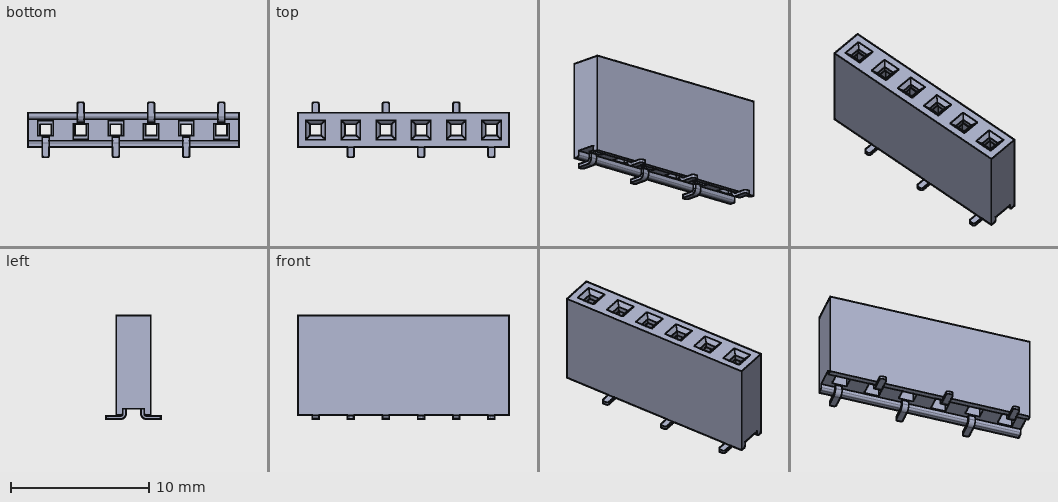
import cadquery as cq

contact_count = 6
housing_length = 15.24
housing_width = 2.5
overall_height = 7.5
housing_bottom = 0.29
housing_height = overall_height - housing_bottom
pitch = housing_length / contact_count

channel_width = 1.55
channel_depth = 0.45
channel_edge_radius = 0.15

socket_side = 0.8
lead_in_side = 1.4
lead_in_depth = 0.3

cavity_roof_depth = 0.69
cavity_side_clearance = 0.15
cavity_lead_clearance = 0.03
cavity_far_clearance = 0.27

lead_span = 4.0
lead_width = 0.5
lead_thickness = 0.25
bend_inner_radius = 0.17
lead_tip_radius = 0.15

channel_top = housing_bottom + channel_depth
contact_xs = [(i - (contact_count - 1) / 2) * pitch for i in range(contact_count)]


def make_housing():
    """Rectangular block with a round-edged channel along its underside."""
    block = cq.Workplane("XY").box(
        housing_length, housing_width, housing_height, centered=(True, True, False)
    )
    channel = cq.Workplane("XY").box(
        housing_length, channel_width, channel_depth, centered=(True, True, False)
    )
    between_edges_y = (channel_width + housing_width) / 4
    mouth_edges = cq.selectors.BoxSelector(
        (-housing_length, -between_edges_y, -channel_depth / 2),
        (housing_length, between_edges_y, channel_depth / 2),
    )
    housing = block.cut(channel).edges("|X").edges(mouth_edges).fillet(channel_edge_radius)
    return housing.translate((0, 0, housing_bottom))


def make_sockets():
    """Through holes with pyramidal lead-ins, one per contact."""
    centers = [(x, 0) for x in contact_xs]
    holes = (
        cq.Workplane("XY")
        .pushPoints(centers)
        .rect(socket_side, socket_side)
        .extrude(overall_height)
    )
    for center in centers:
        lead_in = (
            cq.Workplane("XY", origin=(0, 0, overall_height))
            .center(*center)
            .rect(lead_in_side, lead_in_side)
            .workplane(offset=-lead_in_depth)
            .rect(socket_side, socket_side)
            .loft(ruled=True)
        )
        holes = holes.union(lead_in)
    return holes


def make_lead():
    """L-shaped lead against the +Y channel wall, its foot reaching out to +Y."""
    wall_y = channel_width / 2
    tip_y = lead_span / 2
    inner_y = wall_y - lead_thickness
    bend_y = wall_y + bend_inner_radius
    bend_z = lead_thickness + bend_inner_radius
    bend_outer_radius = bend_inner_radius + lead_thickness
    return (
        cq.Workplane("YZ", origin=(-lead_width / 2, 0, 0))
        .moveTo(inner_y, channel_top)
        .lineTo(inner_y, bend_z)
        .radiusArc((bend_y, 0), -bend_outer_radius)
        .lineTo(tip_y, 0)
        .lineTo(tip_y, lead_thickness)
        .lineTo(bend_y, lead_thickness)
        .radiusArc((wall_y, bend_z), bend_inner_radius)
        .lineTo(wall_y, channel_top)
        .close()
        .extrude(lead_width)
        .faces(">Y")
        .edges("|Z")
        .fillet(lead_tip_radius)
    )


def make_cavity():
    """Contact cavity from under the socket down to the channel, lead on its +Y side."""
    cavity_length = socket_side + 2 * cavity_side_clearance
    cavity_width = socket_side + cavity_lead_clearance + cavity_far_clearance
    cavity_y = (cavity_lead_clearance - cavity_far_clearance) / 2
    cavity_height = overall_height - cavity_roof_depth - channel_top
    return cq.Workplane("XY", origin=(0, cavity_y, channel_top)).box(
        cavity_length, cavity_width, cavity_height, centered=(True, True, False)
    )


def place_contact_shape(shape, index):
    """Move a shape to its contact position; every second one is turned to face -Y."""
    turn = 180 * (index % 2)
    return shape.rotate((0, 0, 0), (0, 0, 1), turn).translate((contact_xs[index], 0, 0))


result = make_housing().cut(make_sockets())

cavity = make_cavity()
lead = make_lead()
for contact in range(contact_count):
    result = result.cut(place_contact_shape(cavity, contact))
    result = result.union(place_contact_shape(lead, contact))